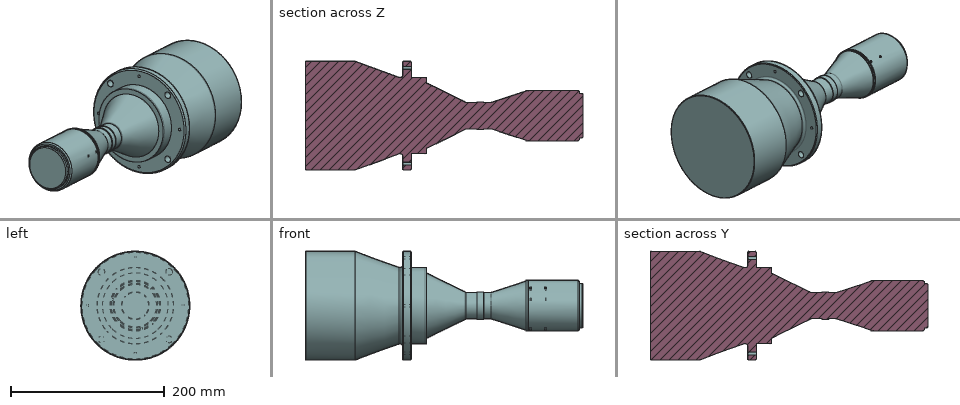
import cadquery as cq
import math


barrel_radius = 70.95
barrel_end_x = 65.5
front_chamfer = 0.7
barrel_rear_chamfer = 1.0
barrel_rear_drop = 0.5

waist_radius = 50.0
cone_end_x = 122.0
flange_radius = barrel_radius
flange_front_x = 126.5
flange_back_x = 138.3
flange_front_chamfer = 1.0
flange_back_chamfer = 1.8
flange_root_fillet = 3.0

spigot_end_x = 157.8
spigot_taper_length = 2.0
spigot_taper_drop = 0.5

middle_cone_radius = 42.5
middle_cone_end_radius = 18.0
neck_radius = 17.5
middle_cone_end_x = 207.5
neck_start_x = 208.7
neck_end_x = 241.5
ring_radius = 18.0
ring_start_x = 222.8
ring_end_x = 232.2
ring_chamfer = 0.7

rear_cone_radius = 32.0
housing_radius = 33.05
housing_start_x = 286.7
housing_end_x = 356.5
housing_chamfer = 1.8
housing_groove_x = 289.2
housing_groove_width = 1.0
housing_groove_depth = 0.5

mount_radius = 29.07
mount_end_x = 361.0
mount_chamfer = 1.5

flange_hole_circle_radius = 62.0
flange_hole_count = 4
bolt_hole_diameter = 8.5
bolt_hole_start_angle = 45
pin_hole_diameter = 3.2
pin_hole_start_angle = 0

screw_hole_rows_x = (293.0, 312.0)
screw_hole_diameter = 2.5
screw_hole_depth = 3.5
screw_hole_count = 3
screw_hole_start_angle = 15


def turned_body():
    """Solid of revolution carrying every round step of the part."""
    groove_bottom = housing_radius - housing_groove_depth
    groove_end_x = housing_groove_x + housing_groove_width
    fillet_start_x = flange_front_x - flange_root_fillet
    profile = (
        cq.Workplane("XY")
        .moveTo(0, 0)
        .lineTo(0, barrel_radius - front_chamfer)
        .lineTo(front_chamfer, barrel_radius)
        .lineTo(barrel_end_x - barrel_rear_chamfer, barrel_radius)
        .lineTo(barrel_end_x, barrel_radius - barrel_rear_drop)
        .lineTo(cone_end_x, waist_radius)
        .lineTo(fillet_start_x, waist_radius)
        .radiusArc((flange_front_x, waist_radius + flange_root_fillet), -flange_root_fillet)
        .lineTo(flange_front_x, flange_radius - flange_front_chamfer)
        .lineTo(flange_front_x + flange_front_chamfer, flange_radius)
        .lineTo(flange_back_x - flange_back_chamfer, flange_radius)
        .lineTo(flange_back_x, flange_radius - flange_back_chamfer)
        .lineTo(flange_back_x, waist_radius)
        .lineTo(spigot_end_x - spigot_taper_length, waist_radius)
        .lineTo(spigot_end_x, waist_radius - spigot_taper_drop)
        .lineTo(spigot_end_x, middle_cone_radius)
        .lineTo(middle_cone_end_x, middle_cone_end_radius)
        .lineTo(neck_start_x, neck_radius)
        .lineTo(ring_start_x, neck_radius)
        .lineTo(ring_start_x, ring_radius)
        .lineTo(ring_end_x - ring_chamfer, ring_radius)
        .lineTo(ring_end_x, neck_radius)
        .lineTo(neck_end_x, neck_radius)
        .lineTo(housing_start_x, rear_cone_radius)
        .lineTo(housing_start_x, housing_radius)
        .lineTo(housing_groove_x, housing_radius)
        .lineTo(housing_groove_x, groove_bottom)
        .lineTo(groove_end_x, groove_bottom)
        .lineTo(groove_end_x, housing_radius)
        .lineTo(housing_end_x - housing_chamfer, housing_radius)
        .lineTo(housing_end_x, housing_radius - housing_chamfer)
        .lineTo(housing_end_x, mount_radius)
        .lineTo(mount_end_x - mount_chamfer, mount_radius)
        .lineTo(mount_end_x, mount_radius - mount_chamfer)
        .lineTo(mount_end_x, 0)
        .close()
    )
    return profile.revolve(360, (0, 0, 0), (1, 0, 0))


def flange_holes(diameter, start_angle):
    """Ring of holes running through the flange along X."""
    return (
        cq.Workplane("YZ", origin=(flange_front_x, 0, 0))
        .polarArray(flange_hole_circle_radius, start_angle, 360, flange_hole_count)
        .circle(diameter / 2)
        .extrude(flange_back_x - flange_front_x)
    )


def screw_hole(x, angle):
    """Blind radial hole drilled into the housing from outside."""
    direction = cq.Vector(0, math.cos(math.radians(angle)), math.sin(math.radians(angle)))
    mouth = direction * housing_radius + cq.Vector(x, 0, 0)
    return cq.Solid.makeCylinder(screw_hole_diameter / 2, screw_hole_depth, mouth, direction * -1)


result = turned_body()
result = result.cut(flange_holes(bolt_hole_diameter, bolt_hole_start_angle))
result = result.cut(flange_holes(pin_hole_diameter, pin_hole_start_angle))
for row_x in screw_hole_rows_x:
    for index in range(screw_hole_count):
        hole_angle = screw_hole_start_angle + index * 360 / screw_hole_count
        result = result.cut(cq.Workplane(screw_hole(row_x, hole_angle)))